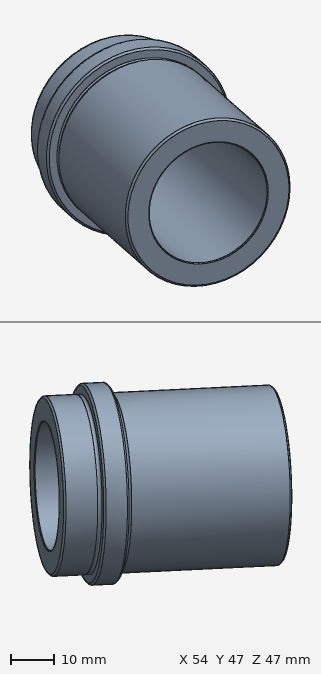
import cadquery as cq

length = 54.0
body_radius = 42.0 / 2
collar_radius = 47.0 / 2
bore_radius = 30.0 / 2
collar_start = 9.0
collar_width = 6.0
groove_width = 1.0
groove_depth = 0.4
edge_chamfer = 0.5
bore_chamfer = 0.2

collar_end = collar_start + collar_width
groove_radius = body_radius - groove_depth


def chamfered_cylinder(start, end, radius):
    """Solid cylinder along X with both outer edges chamfered."""
    blank = cq.Workplane("YZ", origin=(start, 0, 0)).circle(radius).extrude(end - start)
    return blank.faces("<X or >X").edges().chamfer(edge_chamfer)


def relief_groove(start):
    """Ring with a shallow arc section that cuts a relief groove into the body."""
    return (
        cq.Workplane("XY")
        .moveTo(start, body_radius)
        .threePointArc(
            (start + groove_width / 2, groove_radius),
            (start + groove_width, body_radius),
        )
        .close()
        .revolve(360, (0, 0, 0), (1, 0, 0))
    )


body = chamfered_cylinder(0, length, body_radius)
collar = chamfered_cylinder(collar_start, collar_end, collar_radius)
bore = cq.Workplane("YZ").circle(bore_radius).extrude(length)

bushing = (
    body.union(collar)
    .cut(relief_groove(collar_start - groove_width))
    .cut(relief_groove(collar_end))
    .cut(bore)
)

bore_edges = cq.selectors.RadiusNthSelector(0)
result = bushing.faces("<X or >X").edges(bore_edges).chamfer(bore_chamfer)